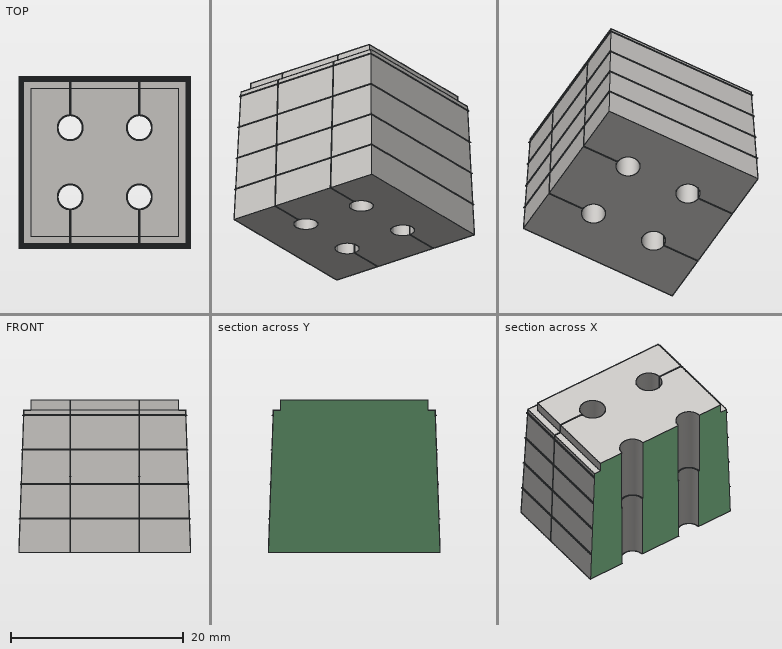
import cadquery as cq
import math

base_width = 19.9
body_height = 16.5
draft_angle = 2.0

total_height = 17.7
pad_width = 17.11

rib_count = 4
rib_spacing = 4.0
rib_height = 0.1
rib_projection = 0.1

hole_spacing = 8.0
upper_hole_diameter = 2.98
lower_hole_diameter = 2.79
hole_step_height = total_height / 2

slit_width = 0.1
slit_length = (base_width - hole_spacing) / 2


def body_width_at(z):
    """Width of the tapered body at height z."""
    return base_width - 2 * z * math.tan(math.radians(draft_angle))


def square_frustum(bottom_z, height, bottom_width, top_width):
    """Square block whose width changes evenly from bottom to top."""
    return (
        cq.Workplane("XY")
        .workplane(offset=bottom_z)
        .rect(bottom_width, bottom_width)
        .workplane(offset=height)
        .rect(top_width, top_width)
        .loft(ruled=True)
    )


def sealing_rib(top_z):
    """Full-depth slice of the body whose bottom edge stands out from the walls."""
    bottom_z = top_z - rib_height
    bottom_width = body_width_at(bottom_z) + 2 * rib_projection
    return square_frustum(bottom_z, rib_height, bottom_width, body_width_at(top_z))


def hole_cylinders(bottom_z, top_z, diameter):
    """One cylinder at each of the four hole positions."""
    return (
        cq.Workplane("XY")
        .workplane(offset=bottom_z)
        .rarray(hole_spacing, hole_spacing, 2, 2)
        .circle(diameter / 2)
        .extrude(top_z - bottom_z)
    )


def hole_slits():
    """Full-height slits from the hole axes to the front and back walls."""
    return (
        cq.Workplane("XY")
        .rarray(hole_spacing, base_width - slit_length, 2, 2)
        .rect(slit_width, slit_length)
        .extrude(total_height)
    )


block = square_frustum(0, body_height, base_width, body_width_at(body_height))
for rib_number in range(1, rib_count + 1):
    block = block.union(sealing_rib(rib_number * rib_spacing))
block = block.union(square_frustum(body_height, total_height - body_height, pad_width, pad_width))

block = block.cut(hole_cylinders(0, total_height, lower_hole_diameter))
block = block.cut(hole_cylinders(hole_step_height, total_height, upper_hole_diameter))
result = block.cut(hole_slits())